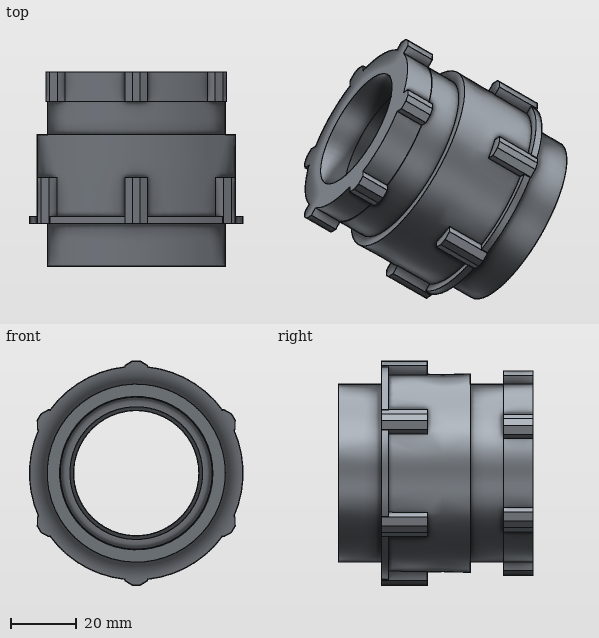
import cadquery as cq


SHOULDER_Y = 7.5
FLARE_Y = 8.4
FLANGE_FRONT_Y = 13.0
SEAT_Y = 16.5
LUG_BACK_Y = 27.0
COLLAR_BACK_Y = 40.0
TAIL_BACK_Y = 50.0
TOTAL_LENGTH = 59.0
FLANGE_THICKNESS = 2.2

OVERALL_WIDTH = 64.8
BARREL_RADIUS = 27.0
SOCKET_MOUTH_RADIUS = 23.25
SOCKET_BOTTOM_RADIUS = 23.05
SHOULDER_RADIUS = 20.1
FLARE_RADIUS = 25.65
BORE_RADIUS = 19.0
FLANGE_RADIUS = OVERALL_WIDTH / 2
COLLAR_FRONT_RADIUS = 29.9
COLLAR_BACK_RADIUS = 30.1
END_NUT_RADIUS = 27.2

LUG_COUNT = 6
LUG_WIDTH = 6.95
LUG_FLAT_WIDTH = 2.3
LUG_BEVEL_DROP = 1.4
LUG_ROOT_DEPTH = 6.1
COUPLING_LUG_RADIUS = 34.0
END_LUG_RADIUS = 31.0


def revolve_about_y(points):
    """Revolve an outline of (radius, Y) points around the Y axis."""
    return cq.Workplane("XY").polyline(points).close().revolve(360, (0, 0), (0, 1))


def add_lugs(nut, crest_radius, front_y, back_y):
    """Add the ring of bevelled lugs that run along Y from front_y to back_y."""
    half_width = LUG_WIDTH / 2
    half_flat = LUG_FLAT_WIDTH / 2
    bevel_z = crest_radius - LUG_BEVEL_DROP
    root_z = crest_radius - LUG_ROOT_DEPTH
    lug = (
        cq.Workplane("XZ", origin=(0, front_y, 0))
        .polyline([
            (-half_width, root_z),
            (-half_width, bevel_z),
            (-half_flat, crest_radius),
            (half_flat, crest_radius),
            (half_width, bevel_z),
            (half_width, root_z),
        ])
        .close()
        .extrude(front_y - back_y)
    )
    for index in range(LUG_COUNT):
        nut = nut.union(lug.rotate((0, 0, 0), (0, 1, 0), index * 360 / LUG_COUNT))
    return nut


def make_sleeve():
    """Sleeve with a tapered pipe socket, a narrow shoulder and a flare that opens to the seat."""
    return revolve_about_y([
        (BARREL_RADIUS, 0),
        (BARREL_RADIUS, SEAT_Y),
        (FLARE_RADIUS, SEAT_Y),
        (SHOULDER_RADIUS, FLARE_Y),
        (SHOULDER_RADIUS, SHOULDER_Y),
        (SOCKET_BOTTOM_RADIUS, SHOULDER_Y),
        (SOCKET_MOUTH_RADIUS, 0),
    ])


def make_coupling_nut():
    """Flanged, slightly tapered nut that bridges the joint between sleeve and tail piece."""
    flange_back_y = FLANGE_FRONT_Y + FLANGE_THICKNESS
    nut = revolve_about_y([
        (BARREL_RADIUS, FLANGE_FRONT_Y),
        (FLANGE_RADIUS, FLANGE_FRONT_Y),
        (FLANGE_RADIUS, flange_back_y),
        (COLLAR_FRONT_RADIUS, flange_back_y),
        (COLLAR_BACK_RADIUS, COLLAR_BACK_Y),
        (BARREL_RADIUS, COLLAR_BACK_Y),
    ])
    return add_lugs(nut, COUPLING_LUG_RADIUS, FLANGE_FRONT_Y, LUG_BACK_Y)


def make_tail_piece():
    """Plain tube from the seat to the end nut."""
    return revolve_about_y([
        (BORE_RADIUS, SEAT_Y),
        (BARREL_RADIUS, SEAT_Y),
        (BARREL_RADIUS, TAIL_BACK_Y),
        (BORE_RADIUS, TAIL_BACK_Y),
    ])


def make_end_nut():
    """Lugged ring that closes the rear end and carries the bore through."""
    nut = revolve_about_y([
        (BORE_RADIUS, TAIL_BACK_Y),
        (END_NUT_RADIUS, TAIL_BACK_Y),
        (END_NUT_RADIUS, TOTAL_LENGTH),
        (BORE_RADIUS, TOTAL_LENGTH),
    ])
    return add_lugs(nut, END_LUG_RADIUS, TAIL_BACK_Y, TOTAL_LENGTH)


sleeve = make_sleeve()
coupling_nut = make_coupling_nut()
tail_piece = make_tail_piece()
end_nut = make_end_nut()

result = cq.Compound.makeCompound([
    sleeve.val(),
    coupling_nut.val(),
    tail_piece.val(),
    end_nut.val(),
])